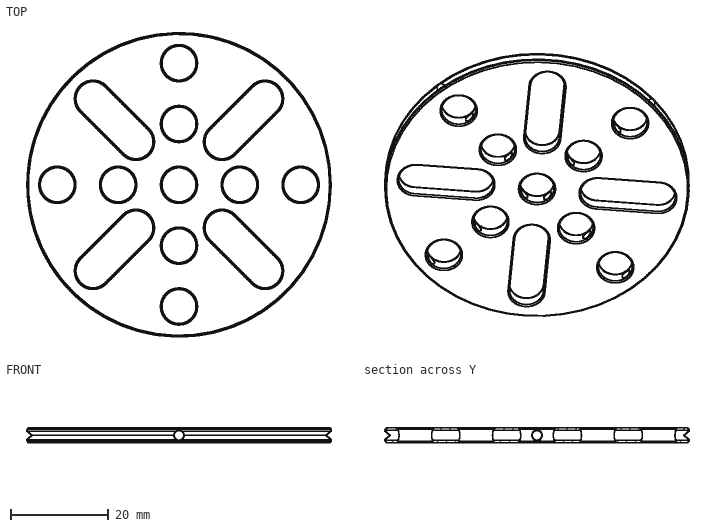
import cadquery as cq

disc_diameter = 62.5
thickness = 3.1
edge_chamfer = 0.3

groove_depth = 1.0
groove_width = 1.75

pitch = 12.5
hole_diameter = 7.0
slot_width = hole_diameter
slot_inner_radius = pitch
slot_outer_radius = 2 * pitch
slot_angles = (45, 135, 225, 315)

cross_bore_diameter = 2.0

disc_radius = disc_diameter / 2
bottom = (0, 0, -thickness / 2)


def cross_of_holes():
    """Round through holes in a cross along X and Y, sharing the central hole."""
    steps = (-2, -1, 1, 2)
    centers = [(0, 0)]
    centers += [(step * pitch, 0) for step in steps]
    centers += [(0, step * pitch) for step in steps]
    outlines = cq.Workplane("XY", origin=bottom).pushPoints(centers).circle(hole_diameter / 2)
    return outlines.extrude(thickness)


def radial_slot(angle):
    """Round-ended through slot that points away from the disc centre."""
    middle_radius = (slot_inner_radius + slot_outer_radius) / 2
    length = slot_outer_radius - slot_inner_radius + slot_width
    outline = cq.Workplane("XY", origin=bottom).center(middle_radius, 0).slot2D(length, slot_width)
    slot = outline.extrude(thickness)
    return slot.rotate((0, 0, 0), (0, 0, 1), angle)


def rim_groove():
    """Ring of triangular section that cuts the V-groove.

    The triangle has twice the depth and width of the groove, so its base clears the rim.
    """
    tip_radius = disc_radius - groove_depth
    base_radius = disc_radius + groove_depth
    return (
        cq.Workplane("XZ")
        .moveTo(base_radius, -groove_width)
        .lineTo(base_radius, groove_width)
        .lineTo(tip_radius, 0)
        .close()
        .revolve(360, (0, 0, 0), (0, 1, 0))
    )


def cross_bore(plane):
    """Bore along a full diameter of the disc, normal to the given plane.

    The circle starts at 45 degrees, which keeps its seam line off the groove tip.
    """
    outline = cq.Workplane(plane).transformed(rotate=(0, 0, 45)).circle(cross_bore_diameter / 2)
    return outline.extrude(disc_diameter, both=True)


result = cq.Workplane("XY", origin=bottom).circle(disc_radius).extrude(thickness)
result = result.cut(cross_of_holes())
for slot_angle in slot_angles:
    result = result.cut(radial_slot(slot_angle))

result = result.faces("|Z").edges().chamfer(edge_chamfer)

result = result.cut(rim_groove())
for bore_plane in ("XZ", "YZ"):
    result = result.cut(cross_bore(bore_plane))